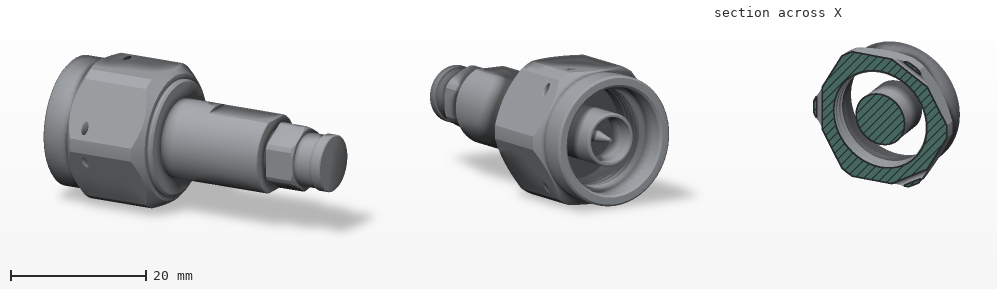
import cadquery as cq
import math

TOTAL_LENGTH = 43.75

NUT_ACROSS_FLATS = 20.0
NUT_CORNER_DIAMETER = 22.0
RIM_RADIUS = 9.8
RIM_CHAMFER = 0.3
NUT_HEX_START = 4.02
NUT_END = 17.05
NUT_BACK_CHAMFER = 1.5

WIRE_HOLE_DIAMETER = 1.05
WIRE_HOLE_X = 7.3
WIRE_HOLE_OFFSET = 10.0
WIRE_HOLE_COUNT = 3

COLLAR_RADIUS = 8.75
COLLAR_END = 17.85
COLLAR_CHAMFER = 0.3

BARREL_RADIUS = 6.0
BARREL_END = 34.05
BARREL_CHAMFER = 0.15
FLAT_START = 24.05
FLAT_SPACING = 10.95

NECK_RADIUS = 3.9
REAR_HEX_START = 34.8
REAR_HEX_END = 39.25
REAR_HEX_ACROSS_FLATS = 9.0
REAR_HEX_CORNER_DIAMETER = 9.95
REAR_HEX_CHAMFER = 0.35
TAIL_RADIUS = 4.02
TAIL_RING_START = 42.25
TAIL_RING_RADIUS = 4.3
TAIL_RING_CHAMFER = 0.15

BORE_RADIUS = 8.1
BORE_MOUTH_CHAMFER = 0.35
BORE_END = 4.05
THREAD_CREST_RADIUS = 7.4
THREAD_ROOT_RADIUS = 7.9
THREAD_PITCH = 1.05
THREAD_ANGLE = 60.0
THREAD_GROOVES = 4
CAVITY_FLOOR = 10.5

SLEEVE_FRONT = 1.0
SLEEVE_RADIUS = 4.02
SLEEVE_CHAMFER = 0.2
SLEEVE_BORE_RADIUS = 3.5
SLEEVE_FLOOR = 6.25
INSULATOR_RADIUS = 2.5
INSULATOR_HEIGHT = 0.2
PIN_FRONT = 1.15
PIN_RADIUS = 0.87
PIN_TIP_RADIUS = 0.2
PIN_TAPER_LENGTH = 3.5


def cylinder(radius, start, end):
    return cq.Workplane("YZ", origin=(start, 0, 0)).circle(radius).extrude(end - start)


def revolve_profile(points):
    """Turn a closed outline of (x, radius) points about the X axis."""
    return cq.Workplane("XY").polyline(points).close().revolve(360, (0, 0, 0), (1, 0, 0))


def hexagon(across_flats, start, end):
    """Hexagonal bar with two corners on the Y axis."""
    across_corners = across_flats / math.cos(math.radians(30))
    return cq.Workplane("YZ", origin=(start, 0, 0)).polygon(6, across_corners).extrude(end - start)


def nut_body():
    corner_radius = NUT_CORNER_DIAMETER / 2
    front_chamfer = corner_radius - RIM_RADIUS
    blank = revolve_profile([
        (NUT_HEX_START, 0),
        (NUT_HEX_START, RIM_RADIUS),
        (NUT_HEX_START + front_chamfer, corner_radius),
        (NUT_END - NUT_BACK_CHAMFER, corner_radius),
        (NUT_END, corner_radius - NUT_BACK_CHAMFER),
        (NUT_END, 0),
    ])
    hex_section = hexagon(NUT_ACROSS_FLATS, NUT_HEX_START, NUT_END).intersect(blank)
    rim = cylinder(RIM_RADIUS, 0, NUT_HEX_START).faces("<X").chamfer(RIM_CHAMFER)
    return hex_section.union(rim)


def wire_holes():
    """Holes cutting across alternate nut corners, the first one parallel to Z at the -Y corner."""
    hole = (
        cq.Workplane("XY", origin=(WIRE_HOLE_X, -WIRE_HOLE_OFFSET, 0))
        .circle(WIRE_HOLE_DIAMETER / 2)
        .extrude(NUT_ACROSS_FLATS / 4, both=True)
    )
    holes = cq.Workplane("XY")
    for index in range(WIRE_HOLE_COUNT):
        angle = index * 360 / WIRE_HOLE_COUNT
        holes = holes.add(hole.rotate((0, 0, 0), (1, 0, 0), angle))
    return holes.combine()


def nut_cavity():
    """Mouth chamfer, smooth bore, 45 degree lead-in, then V grooves down to a flat floor."""
    thread_start = BORE_END + BORE_RADIUS - THREAD_CREST_RADIUS
    flank_length = (THREAD_ROOT_RADIUS - THREAD_CREST_RADIUS) * math.tan(math.radians(THREAD_ANGLE / 2))
    points = [
        (0, 0),
        (0, BORE_RADIUS + BORE_MOUTH_CHAMFER),
        (BORE_MOUTH_CHAMFER, BORE_RADIUS),
        (BORE_END, BORE_RADIUS),
    ]
    for groove in range(THREAD_GROOVES):
        groove_start = thread_start + groove * THREAD_PITCH
        points += [
            (groove_start, THREAD_CREST_RADIUS),
            (groove_start + flank_length, THREAD_ROOT_RADIUS),
            (groove_start + 2 * flank_length, THREAD_CREST_RADIUS),
        ]
    points += [(CAVITY_FLOOR, THREAD_CREST_RADIUS), (CAVITY_FLOOR, 0)]
    return revolve_profile(points)


def barrel():
    body = cylinder(BARREL_RADIUS, COLLAR_END, BARREL_END).faces(">X").chamfer(BARREL_CHAMFER)
    flats = (
        cq.Workplane("XY")
        .box(BARREL_END - COLLAR_END, 2 * BARREL_RADIUS, FLAT_SPACING)
        .translate(((BARREL_END + COLLAR_END) / 2, 0, 0))
        .union(cylinder(BARREL_RADIUS, COLLAR_END, FLAT_START))
    )
    return body.intersect(flats)


def rear_end():
    neck = cylinder(NECK_RADIUS, BARREL_END, REAR_HEX_START)
    blank = (
        cylinder(REAR_HEX_CORNER_DIAMETER / 2, REAR_HEX_START, REAR_HEX_END)
        .faces(">X")
        .chamfer(REAR_HEX_CHAMFER)
    )
    hex_section = (
        hexagon(REAR_HEX_ACROSS_FLATS, REAR_HEX_START, REAR_HEX_END)
        .rotate((0, 0, 0), (1, 0, 0), 90)
        .intersect(blank)
    )
    tail = cylinder(TAIL_RADIUS, REAR_HEX_END, TAIL_RING_START)
    ring = (
        cylinder(TAIL_RING_RADIUS, TAIL_RING_START, TOTAL_LENGTH)
        .faces(">X")
        .chamfer(TAIL_RING_CHAMFER)
    )
    return neck.union(hex_section).union(tail).union(ring)


def contacts():
    """Contact sleeve standing on the cavity floor, with the pin on its insulator inside."""
    sleeve = cylinder(SLEEVE_RADIUS, SLEEVE_FRONT, CAVITY_FLOOR).faces("<X").chamfer(SLEEVE_CHAMFER)
    sleeve = sleeve.cut(cylinder(SLEEVE_BORE_RADIUS, SLEEVE_FRONT, SLEEVE_FLOOR))
    insulator = cylinder(INSULATOR_RADIUS, SLEEVE_FLOOR - INSULATOR_HEIGHT, SLEEVE_FLOOR)
    pin = revolve_profile([
        (PIN_FRONT, 0),
        (PIN_FRONT, PIN_TIP_RADIUS),
        (PIN_FRONT + PIN_TAPER_LENGTH, PIN_RADIUS),
        (SLEEVE_FLOOR, PIN_RADIUS),
        (SLEEVE_FLOOR, 0),
    ])
    return sleeve.union(insulator).union(pin)


nut = nut_body().cut(wire_holes()).cut(nut_cavity())
collar = cylinder(COLLAR_RADIUS, NUT_END, COLLAR_END).faces(">X").chamfer(COLLAR_CHAMFER)
result = nut.union(contacts()).union(collar).union(barrel()).union(rear_end())